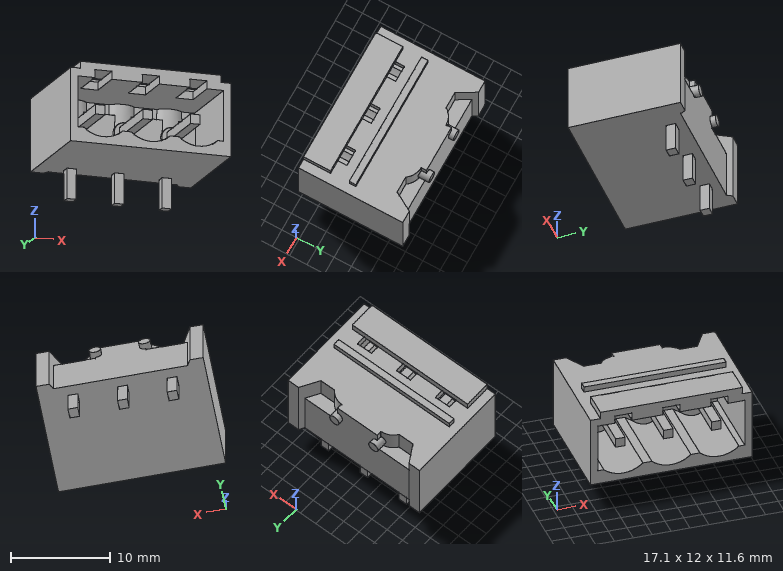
import cadquery as cq
import math


pole_count = 3
pitch = 5.08
pole_positions = [(i - (pole_count - 1) / 2) * pitch for i in range(pole_count)]

housing_width = 17.14
housing_depth = 12.0
housing_height = 7.7
front_y = -housing_depth / 2
rear_y = housing_depth / 2

strip_width = 15.03
lip_depth = 3.12
lip_height = 0.75
ridge_front_y = -0.73
ridge_depth = 0.75
ridge_height = 0.6

pin_size = 1.0
pin_axis_z = housing_height / 2
pin_tip_y = -5.05
tail_axis_y = 3.91
tail_length = 3.18

cavity_width = 15.54
cavity_floor_z = 1.55
cavity_ceiling_z = 6.86
rear_wall_to_tail_axis = 1.2
cavity_rear_y = tail_axis_y - rear_wall_to_tail_axis
trough_radius = 3.09

slot_width = 1.82
slot_rear_y = -1.85

band_bottom_z = 2.29
band_top_z = 5.7
band_thickness = 0.38
band_front_y = cavity_rear_y - band_thickness
post_base_radius = 1.85
post_top_radius = 1.79
collar_radius = 1.05
collar_height = 0.75
collar_front_y = cavity_rear_y - collar_height

corner_post_width = 1.37
shelf_y = 5.42
shelf_z = 5.4
notch_y = 3.94
recess_floor_width = 12.0
shoulder_y = 4.82
shoulder_radius = 2.0
tongue_half_width = 2.59

peg_spacing = pitch
peg_radius = 0.6
peg_axis_z = 6.2


def box(width, y_start, y_end, z_start, z_end, x_centre=0.0):
    """Box centred on x_centre across X, between the given Y and Z limits."""
    return (
        cq.Workplane("XY")
        .box(width, y_end - y_start, z_end - z_start, centered=(True, False, False))
        .translate((x_centre, y_start, z_start))
    )


def rod_along_y(radius, x, z, y_start, y_end):
    """Round rod with its axis along +Y."""
    rod = cq.Solid.makeCylinder(radius, y_end - y_start, cq.Vector(x, y_start, z), cq.Vector(0, 1, 0))
    return cq.Workplane(obj=rod)


def rear_recess():
    """Tapered recess, shallow over its full height and deeper above the shelf."""
    half_mouth = housing_width / 2 - corner_post_width
    half_floor = recess_floor_width / 2
    taper_at_shelf = (rear_y - shelf_y) / (rear_y - notch_y)
    half_at_shelf = half_mouth - (half_mouth - half_floor) * taper_at_shelf
    shallow_outline = [
        (-half_mouth, rear_y),
        (-half_at_shelf, shelf_y),
        (half_at_shelf, shelf_y),
        (half_mouth, rear_y),
    ]
    shallow = cq.Workplane("XY").polyline(shallow_outline).close().extrude(housing_height)

    arc_centre_x = peg_spacing / 2
    arc_centre_y = shoulder_y - shoulder_radius
    foot_angle = math.asin((notch_y - arc_centre_y) / shoulder_radius)
    middle_angle = (foot_angle + math.pi / 2) / 2
    foot_x = arc_centre_x + shoulder_radius * math.cos(foot_angle)
    middle = (
        arc_centre_x + shoulder_radius * math.cos(middle_angle),
        arc_centre_y + shoulder_radius * math.sin(middle_angle),
    )
    right_pocket = (
        cq.Workplane("XY", origin=(0, 0, shelf_z))
        .moveTo(half_at_shelf, shelf_y)
        .lineTo(half_floor, notch_y)
        .lineTo(foot_x, notch_y)
        .threePointArc(middle, (arc_centre_x, shoulder_y))
        .lineTo(tongue_half_width, shoulder_y)
        .lineTo(tongue_half_width, shelf_y)
        .close()
        .extrude(housing_height - shelf_z)
    )
    return shallow.union(right_pocket).union(right_pocket.mirror("YZ"))


def front_cavity():
    """Open-fronted cavity with a round trough below every pin."""
    cavity = box(cavity_width, front_y, cavity_rear_y, cavity_floor_z, cavity_ceiling_z)
    for x in pole_positions:
        trough = rod_along_y(trough_radius, x, pin_axis_z, front_y, cavity_rear_y)
        below_floor = box(2 * trough_radius, front_y, cavity_rear_y, 0, cavity_floor_z, x)
        cavity = cavity.union(trough.intersect(below_floor))
    return cavity


def rear_band():
    """Low band across the rear wall of the cavity."""
    return box(cavity_width, band_front_y, cavity_rear_y, band_bottom_z, band_top_z)


def pin_post(x):
    """Slightly tapered upright post on the rear wall, with a round collar for the pin."""
    base_centre = cq.Vector(x, tail_axis_y, 0)
    cone = cq.Solid.makeCone(
        post_base_radius, post_top_radius, cavity_ceiling_z, base_centre, cq.Vector(0, 0, 1)
    )
    post = cq.Workplane(obj=cone)
    front_of_post = box(2 * post_base_radius, front_y, tail_axis_y, 0, cavity_ceiling_z, x)
    collar = rod_along_y(collar_radius, x, pin_axis_z, collar_front_y, cavity_rear_y)
    return post.intersect(front_of_post).union(collar)


def pin(x):
    """Square right-angle pin: a contact pointing forward and a tail pointing down."""
    half_size = pin_size / 2
    tail_rear_y = tail_axis_y + half_size
    contact = box(pin_size, pin_tip_y, tail_rear_y, pin_axis_z - half_size, pin_axis_z + half_size, x)
    tail = box(pin_size, tail_rear_y - pin_size, tail_rear_y, -tail_length, pin_axis_z, x)
    return contact.union(tail)


def peg(x):
    """Round peg standing out of the rear face."""
    return rod_along_y(peg_radius, x, peg_axis_z, notch_y, rear_y)


housing = box(housing_width, front_y, rear_y, 0, housing_height).cut(rear_recess()).cut(front_cavity())
for pole_x in pole_positions:
    housing = housing.cut(box(slot_width, front_y, slot_rear_y, pin_axis_z, housing_height, pole_x))

lip = box(strip_width, front_y, front_y + lip_depth, housing_height, housing_height + lip_height)
ridge = box(
    strip_width, ridge_front_y, ridge_front_y + ridge_depth, housing_height, housing_height + ridge_height
)
result = housing.union(lip).union(ridge).union(rear_band())

for pole_x in pole_positions:
    result = result.union(pin_post(pole_x)).union(pin(pole_x))
for peg_x in (-peg_spacing / 2, peg_spacing / 2):
    result = result.union(peg(peg_x))